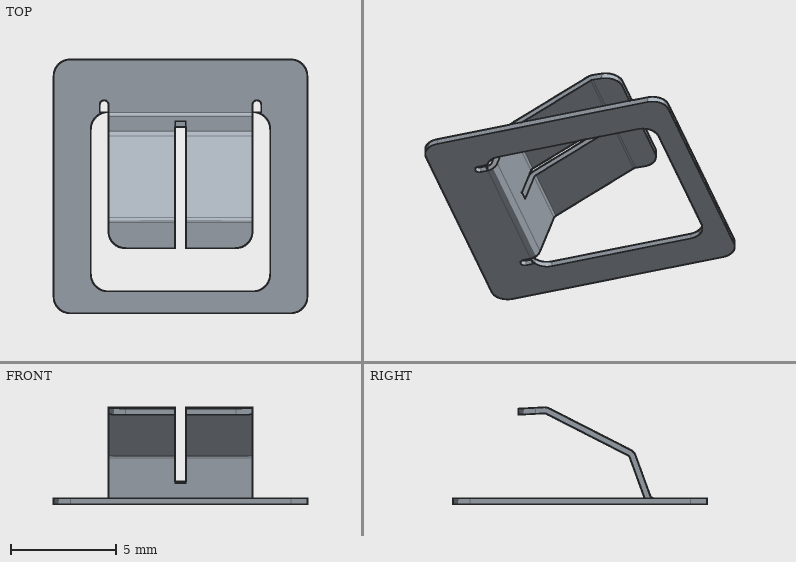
import cadquery as cq
import math

sheet = 0.3
inner_bend = 0.2
outer_bend = inner_bend + sheet
corner_radius = 0.8

frame_size = 12.06

window_size = 8.5
back_rim = 2.51
window_top = frame_size / 2 - back_rim
window_y = window_top - window_size / 2

tongue_width = 6.85
leg_angle = math.radians(70)
ramp_angle = math.radians(27)
tip_angle = math.radians(-3)
knee_height = 2.51
overall_height = 4.62
tip_y = -2.94

slit_width = 0.5
slit_start_height = 1.10

relief_width = 0.4
relief_end_y = 4.08


def point_toward(start, angle, distance):
    """Point in the (Y, Z) plane reached by rising at an angle while heading toward -Y."""
    return (start[0] - distance * math.cos(angle), start[1] + distance * math.sin(angle))


def below(corner, angle_before, angle_after):
    """Corner of the lower face that lies one sheet thickness under an upper-face corner."""
    mean_angle = (angle_before + angle_after) / 2
    miter = sheet / math.cos((angle_before - angle_after) / 2)
    return (corner[0] - miter * math.sin(mean_angle), corner[1] - miter * math.cos(mean_angle))


root = (window_top - inner_bend * math.tan(leg_angle / 2), sheet)
knee = point_toward(root, leg_angle, (knee_height - root[1]) / math.sin(leg_angle))
crest_turn = ramp_angle - tip_angle
crest_center_height = overall_height - outer_bend
crest_corner_height = (
    crest_center_height
    + outer_bend / math.cos(crest_turn / 2) * math.cos((ramp_angle + tip_angle) / 2)
)
crest = point_toward(knee, ramp_angle, (crest_corner_height - knee[1]) / math.sin(ramp_angle))
tip = point_toward(crest, tip_angle, (crest[0] - tip_y) / math.cos(tip_angle))


def make_frame():
    plate = cq.Workplane("XY").rect(frame_size, frame_size).extrude(sheet)
    plate = plate.edges("|Z").fillet(corner_radius)
    window = cq.Workplane("XY").center(0, window_y).rect(window_size, window_size).extrude(sheet)
    return plate.cut(window.edges("|Z").fillet(corner_radius))


def make_relief_slot(side):
    center_x = side * (tongue_width + relief_width) / 2
    radius = relief_width / 2
    arc_y = relief_end_y - radius
    return (
        cq.Workplane("XY")
        .moveTo(center_x - radius, window_top)
        .lineTo(center_x - radius, arc_y)
        .threePointArc((center_x, relief_end_y), (center_x + radius, arc_y))
        .lineTo(center_x + radius, window_top)
        .close()
        .extrude(sheet)
    )


def fillet_bend(body, corner, radius):
    """Round the bend edge that runs along X through a (Y, Z) corner."""
    edge = cq.selectors.NearestToPointSelector((0, corner[0], corner[1]))
    return body.edges("|X").edges(edge).fillet(radius)


def make_tongue():
    lower_root = below(root, 0, leg_angle)
    lower_knee = below(knee, leg_angle, ramp_angle)
    lower_crest = below(crest, ramp_angle, tip_angle)
    lower_tip = below(tip, tip_angle, tip_angle)
    heel_y = window_top + sheet
    body = (
        cq.Workplane("YZ")
        .polyline([
            (heel_y, 0), (heel_y, sheet), root, knee, crest, tip,
            lower_tip, lower_crest, lower_knee, lower_root,
        ])
        .close()
        .extrude(tongue_width / 2, both=True)
    )
    for corner in (lower_root, knee, crest):
        body = fillet_bend(body, corner, outer_bend)
    for corner in (root, lower_knee, lower_crest):
        body = fillet_bend(body, corner, inner_bend)
    return body.faces("<Y").edges("not |X").fillet(corner_radius)


def make_slit():
    slit_start = point_toward(root, leg_angle, (slit_start_height - root[1]) / math.sin(leg_angle))
    slit_start_below = below(slit_start, leg_angle, leg_angle)
    reach = frame_size
    far_above = point_toward(slit_start, leg_angle, reach)
    far_out = (far_above[0] - reach, far_above[1])
    low_out = (far_out[0], slit_start_below[1])
    return (
        cq.Workplane("YZ")
        .polyline([slit_start, far_above, far_out, low_out, slit_start_below])
        .close()
        .extrude(slit_width / 2, both=True)
    )


result = make_frame()
for side in (-1, 1):
    result = result.cut(make_relief_slot(side))
result = result.union(make_tongue().cut(make_slit()))